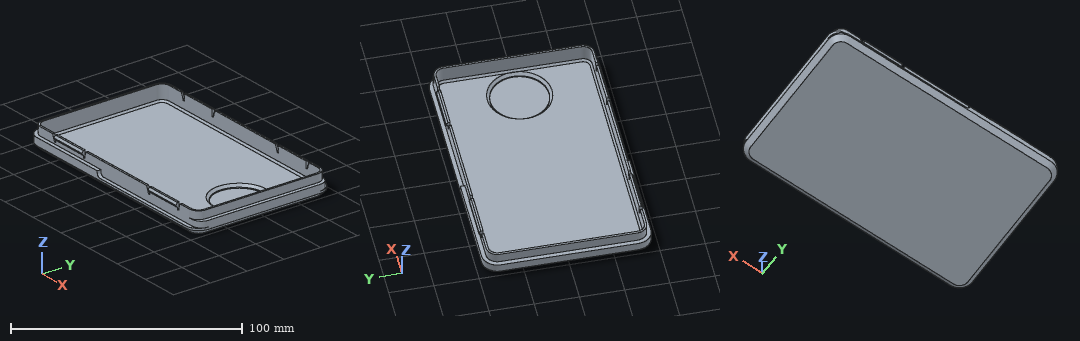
import cadquery as cq

LENGTH = 120.0
WIDTH = 75.0
HEIGHT = 11.0
CORNER_RADIUS = 7.0
BASE_CHAMFER = 2.5
LEDGE_HEIGHT = 6.5
END_LEDGE_HEIGHT = 6.8

LEDGE_WIDTH = 2.0
LIP_THICKNESS = 1.0
FLOOR_HEIGHT = 2.6
FLOOR_CHAMFER = 0.94

RELIEF_START_X = -10.0
RELIEF_HEIGHT = 3.6
RELIEF_RADIUS = 2.0

RECESS_X = 42.0
RECESS_DIAMETER = 26.0
RECESS_DEPTH = 1.8
RECESS_CHAMFER = 1.3
RECESS_STRAIGHT_DEPTH = 0.5

TAB_CENTERS_X = (-32.5, 34.5)
TAB_LENGTH = 20.0
RIDGE_PROJECTION = 0.8
RIDGE_TIP_TOP = 9.8
RIDGE_TIP_BOTTOM = 9.4
RIDGE_BOTTOM_HEIGHT = RIDGE_TIP_BOTTOM - RIDGE_PROJECTION
SLOT_BOTTOM_HEIGHT = 7.5
SLOT_TOP_WIDTH = 1.9
SLOT_BOTTOM_WIDTH = 0.6

LIP_INSET = LEDGE_WIDTH
CAVITY_INSET = LIP_INSET + LIP_THICKNESS
LIP_FACE_Y = WIDTH / 2 - LIP_INSET


def rounded_block(inset, bottom, top):
    """Block with the tray outline moved inward by inset."""
    return (
        cq.Workplane("XY", origin=(0, 0, bottom))
        .rect(LENGTH - 2 * inset, WIDTH - 2 * inset)
        .extrude(top - bottom)
        .edges("|Z")
        .fillet(CORNER_RADIUS - inset)
    )


def make_shell():
    base = rounded_block(0, 0, LEDGE_HEIGHT).faces("<Z").chamfer(BASE_CHAMFER)
    lip = rounded_block(LIP_INSET, BASE_CHAMFER, HEIGHT)
    cavity = rounded_block(CAVITY_INSET, FLOOR_HEIGHT, HEIGHT).faces("<Z").chamfer(FLOOR_CHAMFER)
    return base.union(lip).cut(cavity)


def make_flush_core():
    """Full-length block as wide as the lip, with the lip's corner radius."""
    return (
        cq.Workplane("XY")
        .rect(LENGTH, 2 * LIP_FACE_Y)
        .extrude(END_LEDGE_HEIGHT)
        .edges("|Z")
        .fillet(CORNER_RADIUS - LIP_INSET)
    )


def make_end_ledge():
    """Slightly raised ledge beyond the lip at the +X end."""
    zone_center_x = LENGTH / 2 - CORNER_RADIUS
    end_zone = (
        cq.Workplane("XY", origin=(zone_center_x, 0, LEDGE_HEIGHT))
        .rect(2 * CORNER_RADIUS, WIDTH)
        .extrude(END_LEDGE_HEIGHT - LEDGE_HEIGHT)
    )
    cavity = rounded_block(CAVITY_INSET, 0, HEIGHT)
    return make_flush_core().intersect(end_zone).cut(cavity)


def make_ledge_reliefs():
    """Cutters that lower the ledge along both long sides, from mid-length to the +X end.

    The ledge left standing at the +X end is flush with the lip sides and has the lip's corner radius.
    """
    cutter = (
        cq.Workplane("XZ", origin=(0, WIDTH / 2, 0))
        .moveTo(RELIEF_START_X, LEDGE_HEIGHT)
        .lineTo(RELIEF_START_X, RELIEF_HEIGHT + RELIEF_RADIUS)
        .radiusArc((RELIEF_START_X + RELIEF_RADIUS, RELIEF_HEIGHT), -RELIEF_RADIUS)
        .lineTo(LENGTH / 2, RELIEF_HEIGHT)
        .lineTo(LENGTH / 2, LEDGE_HEIGHT)
        .close()
        .extrude(WIDTH)
    )
    return cutter.cut(make_flush_core())


def make_recess():
    top_radius = RECESS_DIAMETER / 2 + RECESS_CHAMFER
    bottom = FLOOR_HEIGHT - RECESS_DEPTH
    return (
        cq.Workplane("XZ", origin=(RECESS_X, 0, 0))
        .moveTo(0, bottom)
        .lineTo(RECESS_DIAMETER / 2, bottom)
        .lineTo(RECESS_DIAMETER / 2, bottom + RECESS_STRAIGHT_DEPTH)
        .lineTo(top_radius, FLOOR_HEIGHT)
        .lineTo(0, FLOOR_HEIGHT)
        .close()
        .revolve(360, (0, 0, 0), (0, 1, 0))
    )


def make_slots(center_x):
    """Tapered slots through both long lip walls, at the two ends of a tab."""
    slots = cq.Workplane("XY")
    for side in (-1, 1):
        tab_end = center_x + side * TAB_LENGTH / 2
        slot = (
            cq.Workplane("XZ", origin=(0, WIDTH / 2, 0))
            .moveTo(tab_end, HEIGHT)
            .lineTo(tab_end, SLOT_BOTTOM_HEIGHT)
            .lineTo(tab_end + side * SLOT_BOTTOM_WIDTH, SLOT_BOTTOM_HEIGHT)
            .lineTo(tab_end + side * SLOT_TOP_WIDTH, HEIGHT)
            .close()
            .extrude(WIDTH)
        )
        slots = slots.add(slot)
    return slots.combine()


def make_ridges(center_x):
    """Snap ridges on the outer lip faces of the two opposite tabs."""
    ridge = (
        cq.Workplane("YZ", origin=(center_x - TAB_LENGTH / 2, 0, 0))
        .moveTo(LIP_FACE_Y - LIP_THICKNESS / 2, HEIGHT)
        .lineTo(LIP_FACE_Y, HEIGHT)
        .lineTo(LIP_FACE_Y + RIDGE_PROJECTION, RIDGE_TIP_TOP)
        .lineTo(LIP_FACE_Y + RIDGE_PROJECTION, RIDGE_TIP_BOTTOM)
        .lineTo(LIP_FACE_Y, RIDGE_BOTTOM_HEIGHT)
        .lineTo(LIP_FACE_Y - LIP_THICKNESS / 2, RIDGE_BOTTOM_HEIGHT)
        .close()
        .extrude(TAB_LENGTH)
    )
    return ridge.union(ridge.mirror("XZ"))


result = make_shell()
result = result.cut(make_ledge_reliefs())
result = result.union(make_end_ledge())
result = result.cut(make_recess())
for tab_x in TAB_CENTERS_X:
    result = result.cut(make_slots(tab_x)).union(make_ridges(tab_x))